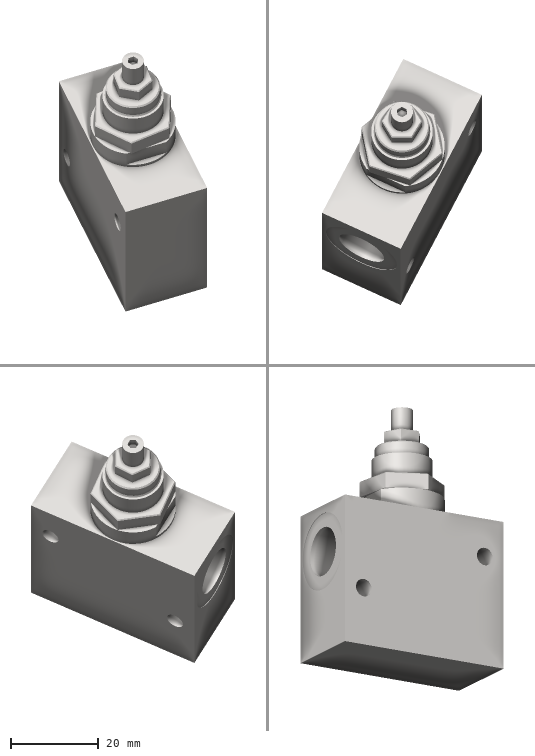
import cadquery as cq
import math

BLOCK_LENGTH = 42.0
BLOCK_WIDTH = 20.0
BLOCK_HEIGHT = 34.95
MOUNT_HOLE_DIAMETER = 4.15
MOUNT_HOLE_X = 16.0
MOUNT_HOLE_LOW_Z = 13.5
MOUNT_HOLE_HIGH_Z = 25.95
PORT_Z = 24.0
PORT_DIAMETER = 11.45
PORT_DEPTH = 13.4
SPOTFACE_DIAMETER = 18.0
SPOTFACE_DEPTH = 0.1

COLLAR_DIAMETER = 19.5
COLLAR_FLATS = 16.85
COLLAR_FLATS_BOTTOM = 35.75
SLEEVE_NUT_BOTTOM = 39.5
SLEEVE_NUT_TOP = 43.55
SLEEVE_NUT_FLATS = 17.0
SLEEVE_NUT_ANGLE = 37.0
SLEEVE_DIAMETER = 14.0
SLEEVE_TOP = 48.8
CAP_DIAMETER = 12.4
CAP_FOOT_DIAMETER = 12.9
CAP_FOOT_HEIGHT = 0.35
CAP_TOP = 51.9
CAP_CHAMFER = 0.3

STEM_NUT_FLATS = 8.0
STEM_NUT_ANGLE = -4.0
STEM_NUT_TOP = 55.3
STEM_DIAMETER = 5.0
STEM_TOP = 60.9
SOCKET_FLATS = 2.2
SOCKET_ANGLE = 30.0
SOCKET_DEPTH = 1.8

NUT_BEVEL = 0.25


def cylinder(diameter, bottom, top):
    """Upright cylinder on the Z axis."""
    return cq.Workplane("XY").workplane(offset=bottom).circle(diameter / 2).extrude(top - bottom)


def hex_prism(across_flats, bottom, top, angle):
    """Upright hexagon on the Z axis, with a corner at the given angle from +X."""
    across_corners = across_flats / math.cos(math.pi / 6)
    prism = cq.Workplane("XY").workplane(offset=bottom).polygon(6, across_corners).extrude(top - bottom)
    return prism.rotate((0, 0, 0), (0, 0, 1), angle)


def make_block():
    block = cq.Workplane("XY").box(
        BLOCK_LENGTH, BLOCK_WIDTH, BLOCK_HEIGHT, centered=(True, True, False)
    )

    mount_holes = (
        cq.Workplane("XZ")
        .pushPoints([(-MOUNT_HOLE_X, MOUNT_HOLE_LOW_Z), (MOUNT_HOLE_X, MOUNT_HOLE_HIGH_Z)])
        .circle(MOUNT_HOLE_DIAMETER / 2)
        .extrude(BLOCK_WIDTH, both=True)
    )

    port_face = cq.Workplane("YZ", origin=(-BLOCK_LENGTH / 2, 0, PORT_Z))
    port = port_face.circle(PORT_DIAMETER / 2).extrude(PORT_DEPTH)
    spotface = port_face.circle(SPOTFACE_DIAMETER / 2).extrude(SPOTFACE_DEPTH)
    return block.cut(mount_holes).cut(port).cut(spotface)


def make_collar():
    """Round collar with a pair of wrench flats facing -X and +X."""
    round_foot = cylinder(COLLAR_DIAMETER, BLOCK_HEIGHT, COLLAR_FLATS_BOTTOM)
    flats_height = SLEEVE_NUT_BOTTOM - COLLAR_FLATS_BOTTOM
    flats_envelope = (
        cq.Workplane("XY")
        .workplane(offset=COLLAR_FLATS_BOTTOM)
        .rect(COLLAR_FLATS, COLLAR_DIAMETER)
        .extrude(flats_height)
    )
    flatted = cylinder(COLLAR_DIAMETER, COLLAR_FLATS_BOTTOM, SLEEVE_NUT_BOTTOM).intersect(flats_envelope)
    return round_foot.union(flatted)


def make_cap():
    """Round cap with a flared foot and a chamfered top edge."""
    cap_radius = CAP_DIAMETER / 2
    return (
        cq.Workplane("XZ")
        .moveTo(0, SLEEVE_TOP)
        .lineTo(CAP_FOOT_DIAMETER / 2, SLEEVE_TOP)
        .lineTo(cap_radius, SLEEVE_TOP + CAP_FOOT_HEIGHT)
        .lineTo(cap_radius, CAP_TOP - CAP_CHAMFER)
        .lineTo(cap_radius - CAP_CHAMFER, CAP_TOP)
        .lineTo(0, CAP_TOP)
        .close()
        .revolve(360, (0, 0, 0), (0, 1, 0))
    )


def make_stem():
    """Adjusting stem standing on the cap, with a hexagon socket in its top."""
    socket = hex_prism(SOCKET_FLATS, STEM_TOP - SOCKET_DEPTH, STEM_TOP, SOCKET_ANGLE)
    return cylinder(STEM_DIAMETER, CAP_TOP, STEM_TOP).cut(socket)


def make_valve():
    """Block, collar, sleeve, cap and stem as one body."""
    sleeve = cylinder(SLEEVE_DIAMETER, SLEEVE_NUT_BOTTOM, SLEEVE_TOP)
    return make_block().union(make_collar()).union(sleeve).union(make_cap()).union(make_stem())


def make_locknut(across_flats, bore, bottom, top, angle):
    """Hexagonal nut, bevelled at both ends, that fits closely round its shaft."""
    blank = hex_prism(across_flats, bottom, top, angle).faces("|Z").chamfer(NUT_BEVEL)
    return blank.cut(cylinder(bore, bottom, top))


valve = make_valve()
sleeve_nut = make_locknut(
    SLEEVE_NUT_FLATS, SLEEVE_DIAMETER, SLEEVE_NUT_BOTTOM, SLEEVE_NUT_TOP, SLEEVE_NUT_ANGLE
)
stem_nut = make_locknut(STEM_NUT_FLATS, STEM_DIAMETER, CAP_TOP, STEM_NUT_TOP, STEM_NUT_ANGLE)

result = cq.Compound.makeCompound([valve.val(), sleeve_nut.val(), stem_nut.val()])